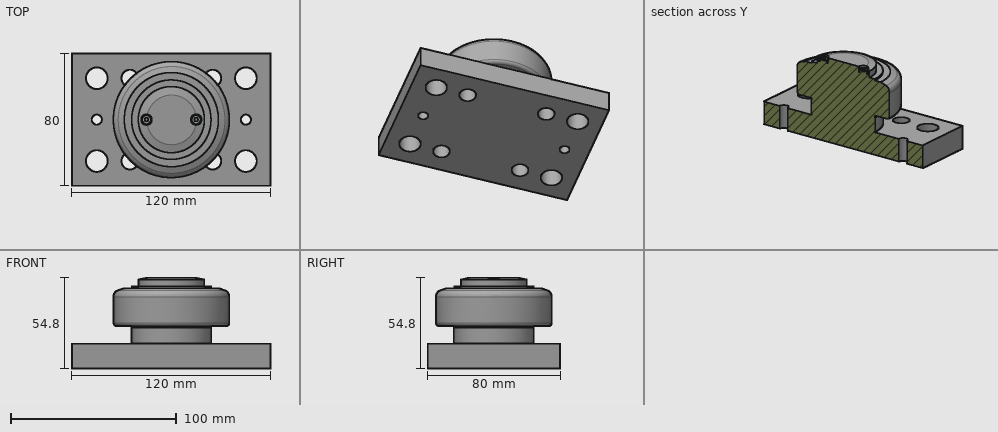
import cadquery as cq
import math

PLATE_LENGTH = 120.0
PLATE_WIDTH = PLATE_LENGTH * 2 / 3
PLATE_HEIGHT = 15.0
CORNER_HOLE_DIAMETER = 13.0
INNER_HOLE_DIAMETER = 10.1
DOWEL_HOLE_DIAMETER = 6.0
OUTER_HOLE_X = PLATE_LENGTH * 3 / 8
HOLE_PITCH = PLATE_LENGTH * 5 / 12

NECK_RADIUS = 24.2
NECK_CHAMFER = 0.4
INNER_RING_RADIUS = 24.0
INNER_RING_STEP = 1.0

ROLLER_RADIUS = 35.0
ROLLER_BOTTOM = 25.5
ROLLER_TOP = 48.6
ROLLER_FACE_RADIUS = 28.5
ROLLER_TOP_FILLET = 4.1
ROLLER_BOTTOM_FILLET = 2.0
TOP_CONE_ANGLE = math.radians(18.5)
SELECTION_MARGIN = 0.1

CAP_DIAMETER = 40.0
CAP_FLAT_DIAMETER = 30.0
CAP_TOP = 54.8
CAP_RIM_DROP = 1.1

SCREW_PITCH = 30.0
SCREW_HOLE_DIAMETER = 6.5
SCREW_HOLE_DEPTH = 3.6
SCREW_HEAD_DIAMETER = 5.4
SCREW_HEAD_SINK = 1.2
SOCKET_DIAMETER = 2.4
SOCKET_DEPTH = 1.2


def disc(diameter, bottom, height, centres=((0, 0),)):
    """Upright cylinders standing on the height `bottom`."""
    return cq.Workplane("XY", origin=(0, 0, bottom)).pushPoints(centres).circle(diameter / 2).extrude(height)


def make_plate():
    plate = cq.Workplane("XY").box(PLATE_LENGTH, PLATE_WIDTH, PLATE_HEIGHT, centered=(True, True, False))
    top = plate.faces(">Z").workplane(origin=(0, 0, PLATE_HEIGHT))
    plate = top.rarray(2 * OUTER_HOLE_X, HOLE_PITCH, 2, 2).hole(CORNER_HOLE_DIAMETER)
    top = plate.faces(">Z").workplane(origin=(0, 0, PLATE_HEIGHT))
    plate = top.rarray(HOLE_PITCH, HOLE_PITCH, 2, 2).hole(INNER_HOLE_DIAMETER)
    top = plate.faces(">Z").workplane(origin=(0, 0, PLATE_HEIGHT))
    return top.rarray(2 * OUTER_HOLE_X, 1.2, 2, 1).hole(DOWEL_HOLE_DIAMETER)


def make_neck():
    ring_bottom = ROLLER_BOTTOM - INNER_RING_STEP
    ring_top = ROLLER_TOP + INNER_RING_STEP
    neck = disc(2 * NECK_RADIUS, PLATE_HEIGHT, ring_bottom - PLATE_HEIGHT).faces("<Z").chamfer(NECK_CHAMFER)
    return neck.union(disc(2 * INNER_RING_RADIUS, ring_bottom, ring_top - ring_bottom))


def make_roller():
    """Revolved rim whose upper shoulder is a cone rounded into the side."""
    cone_run = ROLLER_RADIUS - ROLLER_FACE_RADIUS
    shoulder = ROLLER_TOP - cone_run * math.tan(TOP_CONE_ANGLE)
    profile = (
        cq.Workplane("XZ")
        .moveTo(0, ROLLER_BOTTOM)
        .lineTo(ROLLER_RADIUS, ROLLER_BOTTOM)
        .lineTo(ROLLER_RADIUS, shoulder)
        .lineTo(ROLLER_FACE_RADIUS, ROLLER_TOP)
        .lineTo(0, ROLLER_TOP)
        .close()
    )
    roller = profile.revolve(360, (0, 0, 0), (0, 1, 0))
    roller = roller.faces("<Z").edges().fillet(ROLLER_BOTTOM_FILLET)
    shoulder_zone = cq.selectors.BoxSelector(
        (-ROLLER_RADIUS, -ROLLER_RADIUS, shoulder - SELECTION_MARGIN),
        (ROLLER_RADIUS, ROLLER_RADIUS, shoulder + SELECTION_MARGIN),
    )
    return roller.edges(shoulder_zone).fillet(ROLLER_TOP_FILLET)


def make_cap():
    cap = disc(CAP_DIAMETER, ROLLER_TOP, CAP_TOP - ROLLER_TOP)
    rim_width = (CAP_DIAMETER - CAP_FLAT_DIAMETER) / 2
    return cap.faces(">Z").chamfer(CAP_RIM_DROP, rim_width)


def add_screws(body):
    centres = [(-SCREW_PITCH / 2, 0), (SCREW_PITCH / 2, 0)]
    floor = CAP_TOP - SCREW_HOLE_DEPTH
    head_height = SCREW_HOLE_DEPTH - SCREW_HEAD_SINK
    body = body.cut(disc(SCREW_HOLE_DIAMETER, floor, SCREW_HOLE_DEPTH, centres))
    heads = disc(SCREW_HEAD_DIAMETER, floor, head_height, centres)
    head_top = cq.Workplane("XY", origin=(0, 0, floor + head_height))
    sockets = head_top.pushPoints(centres).polygon(6, SOCKET_DIAMETER).extrude(-SOCKET_DEPTH)
    return body.union(heads.cut(sockets))


body = make_plate()
for section in (make_neck(), make_roller(), make_cap()):
    body = body.union(section)
result = add_screws(body)